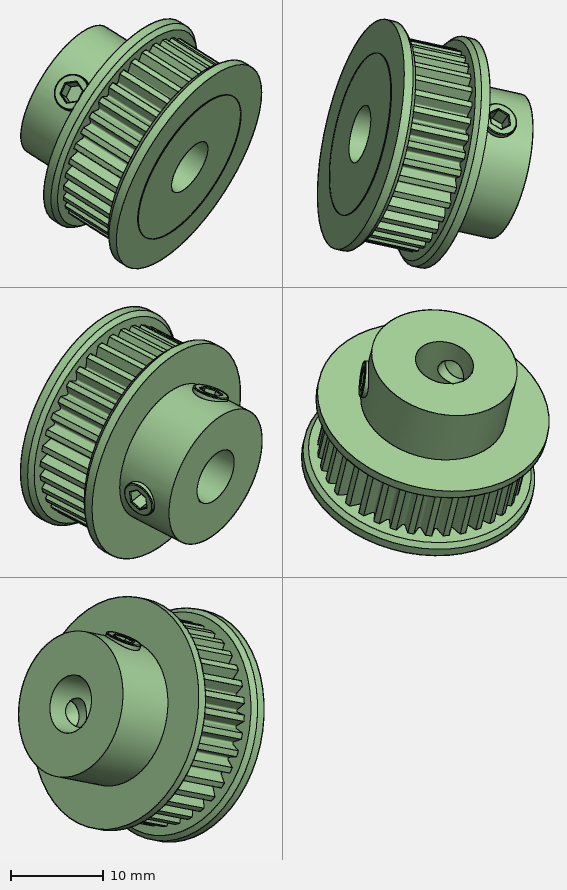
import cadquery as cq
import math

RIM_RADIUS = 12.75
HUB_RADIUS = 8.0
BORE_RADIUS = 3.2
END_FACE_RADIUS = 9.0

HUB_LENGTH = 6.88
FLANGE_WIDTH = 1.53
TOOTH_LENGTH = 6.95
END_FACE_HEIGHT = 0.1
FLANGE_CHAMFER = 0.5

NEAR_FLANGE_X = HUB_LENGTH
TEETH_X = NEAR_FLANGE_X + FLANGE_WIDTH
FAR_FLANGE_X = TEETH_X + TOOTH_LENGTH
END_FACE_X = FAR_FLANGE_X + FLANGE_WIDTH
PULLEY_LENGTH = END_FACE_X + END_FACE_HEIGHT

TOOTH_COUNT = 36
TIP_RADIUS = 11.25
ROOT_RADIUS = 10.1
ROOT_FILLET = 0.18
FLANK_ANGLE = math.radians(25)
GAP_CLEARANCE = 0.25

SCREW_RADIUS = 2.0
SCREW_X = 4.0
SCREW_TOP = 8.36
SCREW_BOTTOM = 4.34
SCREW_CHAMFER = 0.1
PASSAGE_RADIUS = 1.6
HEX_SIDES = 6
SOCKET_ACROSS_FLATS = 2.12
SOCKET_CHAMFER = 0.1
SOCKET_DEPTH = 1.89
SOCKET_TURN = 22
SCREW_ANGLES = (0, 120)
CUP_RADIUS = PASSAGE_RADIUS
CUP_HALF_ANGLE = math.radians(60)
CUP_DEPTH = CUP_RADIUS / math.tan(CUP_HALF_ANGLE)


def x_cylinder(radius, start, length):
    """Cylinder on the X axis beginning at x = start."""
    return cq.Workplane("YZ", origin=(start, 0, 0)).circle(radius).extrude(length)


def screw_cylinder(radius, bottom, top, angle):
    """Radial cylinder at the screw position, between two distances from the X axis."""
    cylinder = cq.Workplane("XZ", origin=(SCREW_X, bottom, 0)).circle(radius).extrude(bottom - top)
    return cylinder.rotate((0, 0, 0), (1, 0, 0), angle)


def make_tooth_gap():
    """Cutter for the gap centred on +Y."""
    fillet_center = ROOT_RADIUS + ROOT_FILLET
    foot_half_width = ROOT_FILLET * math.cos(FLANK_ANGLE)
    foot_radius = fillet_center - ROOT_FILLET * math.sin(FLANK_ANGLE)
    mouth_radius = TIP_RADIUS + GAP_CLEARANCE
    mouth_half_width = foot_half_width + (mouth_radius - foot_radius) * math.tan(FLANK_ANGLE)
    return (
        cq.Workplane("YZ", origin=(TEETH_X, 0, 0))
        .moveTo(mouth_radius, -mouth_half_width)
        .lineTo(foot_radius, -foot_half_width)
        .threePointArc((ROOT_RADIUS, 0), (foot_radius, foot_half_width))
        .lineTo(mouth_radius, mouth_half_width)
        .close()
        .extrude(TOOTH_LENGTH)
    )


def make_toothed_ring():
    ring = x_cylinder(TIP_RADIUS, TEETH_X, TOOTH_LENGTH)
    gap = make_tooth_gap().val()
    axis_start = cq.Vector(0, 0, 0)
    axis_end = cq.Vector(1, 0, 0)
    gaps = [gap.rotate(axis_start, axis_end, i * 360 / TOOTH_COUNT) for i in range(TOOTH_COUNT)]
    return ring.cut(cq.Workplane(cq.Compound.makeCompound(gaps)))


def make_pulley():
    hub = x_cylinder(HUB_RADIUS, 0, HUB_LENGTH)
    near_flange = x_cylinder(RIM_RADIUS, NEAR_FLANGE_X, FLANGE_WIDTH)
    near_flange = near_flange.faces(">X").edges().chamfer(FLANGE_CHAMFER)
    far_flange = x_cylinder(RIM_RADIUS, FAR_FLANGE_X, FLANGE_WIDTH)
    far_flange = far_flange.faces("<X").edges().chamfer(FLANGE_CHAMFER)
    end_face = x_cylinder(END_FACE_RADIUS, END_FACE_X, END_FACE_HEIGHT)

    pulley = hub.union(near_flange).union(make_toothed_ring()).union(far_flange).union(end_face)
    pulley = pulley.cut(x_cylinder(BORE_RADIUS, 0, PULLEY_LENGTH))
    for angle in SCREW_ANGLES:
        pulley = pulley.cut(screw_cylinder(SCREW_RADIUS, SCREW_BOTTOM, SCREW_TOP, angle))
        pulley = pulley.cut(screw_cylinder(PASSAGE_RADIUS, 0, SCREW_BOTTOM, angle))
    return pulley


def socket_hexagon(across_flats):
    """Hexagon in the outer screw end; positive extrusion goes into the screw."""
    across_corners = across_flats / math.cos(math.pi / HEX_SIDES)
    end_plane = cq.Workplane("XZ", origin=(SCREW_X, SCREW_TOP, 0))
    return end_plane.transformed(rotate=(0, 0, SOCKET_TURN)).polygon(HEX_SIDES, across_corners)


def make_set_screw(angle):
    """Headless screw with a hexagon socket in its outer end and a cup in its inner end."""
    screw = screw_cylinder(SCREW_RADIUS, SCREW_BOTTOM, SCREW_TOP, 0)
    screw = screw.faces(">Y").edges().chamfer(SCREW_CHAMFER)

    socket = socket_hexagon(SOCKET_ACROSS_FLATS).extrude(SOCKET_DEPTH)
    mouth_across_flats = SOCKET_ACROSS_FLATS + 2 * SOCKET_CHAMFER
    socket_mouth = socket_hexagon(mouth_across_flats).extrude(SOCKET_CHAMFER, taper=45)
    cup_base = cq.Vector(SCREW_X, SCREW_BOTTOM, 0)
    cup = cq.Solid.makeCone(CUP_RADIUS, 0, CUP_DEPTH, cup_base, cq.Vector(0, 1, 0))

    screw = screw.cut(socket).cut(socket_mouth).cut(cq.Workplane(cup))
    return screw.rotate((0, 0, 0), (1, 0, 0), angle)


pulley = make_pulley()
set_screws = [make_set_screw(angle) for angle in SCREW_ANGLES]

result = cq.Compound.makeCompound([pulley.val(), *[screw.val() for screw in set_screws]])